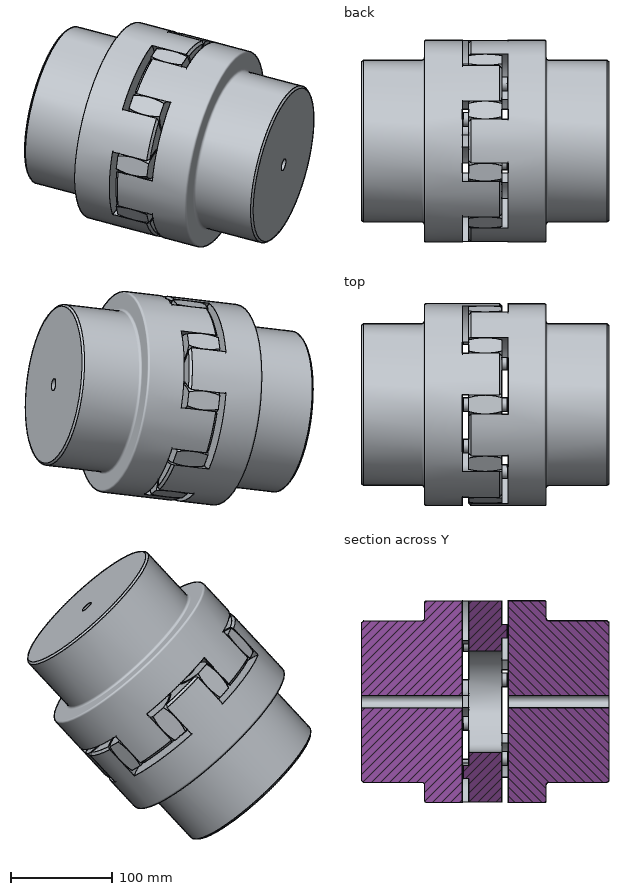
import cadquery as cq


length = 245.0
mid_x = length / 2
hub_gap = 45.0
side_clearance = 6.1
flange_start = 62.2
face_x = mid_x - hub_gap / 2
spider_start = face_x + side_clearance
spider_end = face_x + hub_gap - side_clearance
jaw_end = spider_end

flange_radius = 100.0
boss_radius = 80.0
bore_radius = 6.0
boss_chamfer = 2.0
flange_fillet = 2.0
boss_fillet = 2.5

jaw_count = 5
jaw_pitch = 360 / jaw_count
jaw_inner_radius = 62.0
pocket_center_radius = 80.4
pocket_radius = 41.5
jaw_tip_chamfer = 2.5

arm_count = 2 * jaw_count
arm_pitch = 360 / arm_count
spider_bore_radius = 50.0
arm_clearance = 0.2
arm_crown = 2.0
arm_flat_height = 99.5
button_radius = 6.9
button_length = 5.5
button_center_radius = 69.5


def x_cylinder(radius, start_x, end_x):
    return cq.Workplane("YZ", origin=(start_x, 0, 0)).circle(radius).extrude(end_x - start_x)


def turned(shape, angle):
    """Turn a shape about the X axis; an angle of zero leaves it at -Y, 90 degrees brings it to +Z."""
    return shape.rotate((0, 0, 0), (1, 0, 0), -angle)


def hub_blank():
    """Boss, flange and the solid ring that the jaws are cut from, as one turned profile."""
    return (
        cq.Workplane("XY")
        .moveTo(0, bore_radius)
        .lineTo(0, boss_radius - boss_chamfer)
        .lineTo(boss_chamfer, boss_radius)
        .lineTo(flange_start - boss_fillet, boss_radius)
        .radiusArc((flange_start, boss_radius + boss_fillet), -boss_fillet)
        .lineTo(flange_start, flange_radius - flange_fillet)
        .radiusArc((flange_start + flange_fillet, flange_radius), flange_fillet)
        .lineTo(jaw_end - jaw_tip_chamfer, flange_radius)
        .lineTo(jaw_end, flange_radius - jaw_tip_chamfer)
        .lineTo(jaw_end, jaw_inner_radius)
        .lineTo(face_x, jaw_inner_radius)
        .lineTo(face_x, bore_radius)
        .close()
        .revolve(360, (0, 0, 0), (1, 0, 0))
    )


def make_hub():
    """Left hub, with a jaw space centred on -Y."""
    hub = hub_blank()
    pocket = x_cylinder(pocket_radius, face_x, jaw_end).translate((0, -pocket_center_radius, 0))
    for i in range(jaw_count):
        hub = hub.cut(turned(pocket, i * jaw_pitch))
    return hub


def make_crowned_drum():
    """Drum with a bulging side that fits a jaw pocket centred on -Y."""
    drum_radius = pocket_radius - arm_clearance
    end_radius = drum_radius - arm_crown
    return (
        cq.Workplane("XY")
        .moveTo(spider_start, 0)
        .lineTo(spider_start, end_radius)
        .threePointArc((mid_x, drum_radius), (spider_end, end_radius))
        .lineTo(spider_end, 0)
        .close()
        .revolve(360, (0, 0, 0), (1, 0, 0))
        .translate((0, -pocket_center_radius, 0))
    )


def make_arm():
    """Flat-topped arm where two neighbouring drums overlap, half an arm pitch above -Y."""
    drum = make_crowned_drum()
    lens = drum.intersect(turned(drum, arm_pitch))
    trim_width = 2 * flange_radius
    trim_block = (
        cq.Workplane("XY")
        .box(length, arm_flat_height, trim_width)
        .translate((mid_x, -arm_flat_height / 2, 0))
    )
    return lens.intersect(turned(trim_block, arm_pitch / 2))


def make_spider():
    """Ring with arms between the jaws and a spacer button on alternating sides of the arms."""
    arm = make_arm()
    left_button = x_cylinder(button_radius, spider_start - button_length, mid_x)
    right_button = x_cylinder(button_radius, mid_x, spider_end + button_length)

    spider = x_cylinder(jaw_inner_radius, spider_start, spider_end)
    for i in range(arm_count):
        button = right_button if i % 2 == 0 else left_button
        button = button.translate((0, -button_center_radius, 0))
        button = turned(button, arm_pitch / 2)
        spider = spider.union(turned(arm, i * arm_pitch))
        spider = spider.union(turned(button, i * arm_pitch))
    return spider.cut(x_cylinder(spider_bore_radius, spider_start, spider_end))


left_hub = make_hub()
right_hub = left_hub.rotate((mid_x, 0, 0), (mid_x, 0, 1), 180)
spider = make_spider()

result = cq.Compound.makeCompound([left_hub.val(), right_hub.val(), spider.val()])